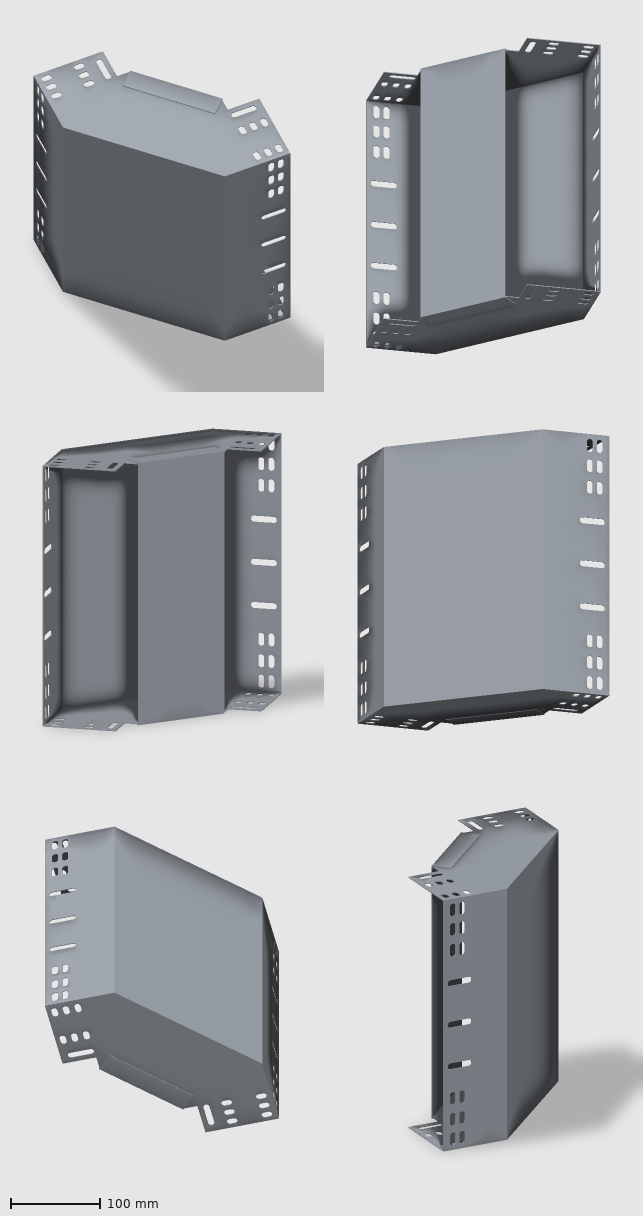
import cadquery as cq
import math

width = 308.0
overall_height = 303.0
sheet = 1.0
tray_height = overall_height - 2 * sheet

root_two = math.sqrt(2)

wing_wall_length = 80.5
wing_end_length = 85.0
wing_rear_length = 38.8
wing_run = wing_wall_length / root_two
end_run = wing_end_length / root_two
notch_run = wing_rear_length / root_two
front_half_width = width / 2 - wing_run
corner = (-width / 2, wing_run)
apex = (corner[0] + end_run, corner[1] + end_run)
notch = (apex[0] + notch_run, apex[1] - notch_run)

cover_half_width = 55.5
cover_lip = 22.8
tray_rear = notch[1] + (-cover_half_width - notch[0])

slot_width = 7.0
long_slot = 30.2

wall_short_slot = 15.0
wall_columns = (11.7, 23.5)
wall_rows = (13.2, 36.5, 61.5)
wall_long_column = 20.3
wall_long_pitch = 50.0

plate_short_slot = 12.0
plate_rows = (12.0, 52.0)
plate_columns = (8.5, 22.0, 35.5)
plate_long_row = 75.5
plate_long_column = 23.5


def mirrored(left_points):
    """Complete a left-hand outline with its mirror image in X."""
    return left_points + [(-x, y) for x, y in reversed(left_points)]


def tray_shell():
    """Folded sheet: front and wing walls joined by a top and a bottom plate, open at the ends and rear."""
    outline = mirrored([
        (-front_half_width, 0),
        corner,
        apex,
        notch,
        (-cover_half_width, tray_rear),
    ])
    block = cq.Workplane("XY").polyline(outline).close().extrude(tray_height / 2, both=True)

    half_bend_angle = math.radians(22.5)
    inner_half_width = front_half_width - sheet * math.tan(half_bend_angle)
    inner_reach = width
    cavity_outline = mirrored([
        (-inner_half_width, sheet),
        (-inner_half_width - inner_reach, sheet + inner_reach),
    ])
    cavity = cq.Workplane("XY").polyline(cavity_outline).close().extrude(tray_height / 2 - sheet, both=True)
    return block.cut(cavity)


def wall_slots():
    """Cutters through the left wing wall."""
    plane = cq.Plane(origin=(*corner, 0), xDir=(1, -1, 0), normal=(-1, -1, 0))
    short_centres = [
        (column, side * (tray_height / 2 - row))
        for column in wall_columns
        for row in wall_rows
        for side in (-1, 1)
    ]
    long_centres = [(wall_long_column, step * wall_long_pitch) for step in (-1, 0, 1)]
    short = cq.Workplane(plane).pushPoints(short_centres).slot2D(wall_short_slot, slot_width, 90)
    long = cq.Workplane(plane).pushPoints(long_centres).slot2D(long_slot, slot_width)
    return short.extrude(sheet, both=True).add(long.extrude(sheet, both=True)).combine()


def plate_slots():
    """Cutters through both plates at the left wing."""
    plane = cq.Plane(origin=(*corner, 0), xDir=(1, -1, 0), normal=(0, 0, 1))
    short_centres = [(column, row) for column in plate_columns for row in plate_rows]
    short = cq.Workplane(plane).pushPoints(short_centres).slot2D(plate_short_slot, slot_width, 90)
    long = cq.Workplane(plane).center(plate_long_column, plate_long_row).slot2D(long_slot, slot_width)
    return short.extrude(tray_height, both=True).add(long.extrude(tray_height, both=True)).combine()


def make_tray():
    """Tray with the same slots in its left and right wings."""
    tray = tray_shell()
    for cutter in (wall_slots(), plate_slots()):
        tray = tray.cut(cutter).cut(cutter.mirror("YZ"))
    return tray


def make_cover():
    """Channel closing the rear, its lips lying on the outside of the tray plates."""
    outer_half = tray_height / 2 + sheet
    inner_half = tray_height / 2
    rear = tray_rear + sheet
    lip_front = rear - cover_lip
    profile = [
        (lip_front, outer_half),
        (rear, outer_half),
        (rear, -outer_half),
        (lip_front, -outer_half),
        (lip_front, -inner_half),
        (tray_rear, -inner_half),
        (tray_rear, inner_half),
        (lip_front, inner_half),
    ]
    return cq.Workplane("YZ").polyline(profile).close().extrude(cover_half_width, both=True)


tray = make_tray()
cover = make_cover()
result = cq.Compound.makeCompound([tray.solids().val(), cover.val()])